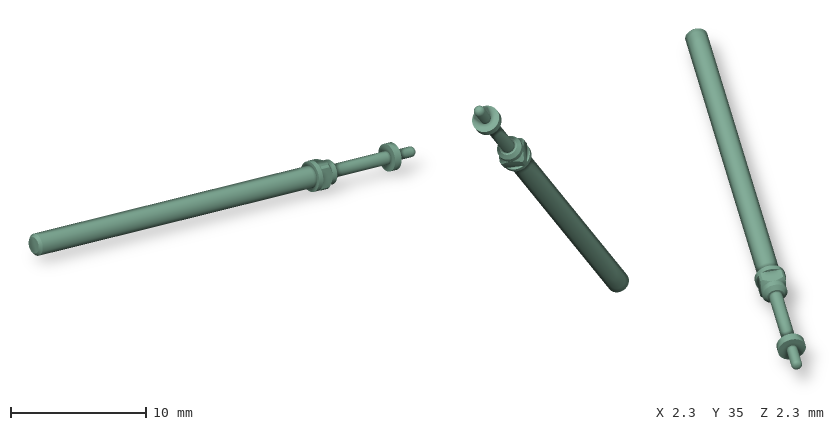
import cadquery as cq

overall_length = 35.0

body_diameter = 1.68
flange_diameter = 2.3
collar_diameter = 1.9
stem_diameter = 1.0
disc_diameter = 2.1
tip_diameter = 0.8

square_width = collar_diameter
square_corner_diameter = 2.45
square_lead_in = (square_corner_diameter - collar_diameter) / 2

body_length = 25.4
flange_thickness = 0.4
square_length = 1.0
collar_length = 0.42
shoulder_length = 0.28
disc_thickness = 0.6
tip_length = 1.92

body_chamfer = 0.2
shoulder_small_diameter = collar_diameter - 2 * shoulder_length
nose_radius = 0.35

body_start = -overall_length / 2
flange_start = body_start + body_length
square_start = flange_start + flange_thickness
collar_start = square_start + square_length
shoulder_start = collar_start + collar_length
stem_start = shoulder_start + shoulder_length
nose_end = overall_length / 2
disc_end = nose_end - tip_length
disc_start = disc_end - disc_thickness


def cylinder(diameter, start, end):
    """Round bar along Y between two stations."""
    length = end - start
    return cq.Workplane("XZ", origin=(0, end, 0)).circle(diameter / 2).extrude(length)


def cone(start_diameter, end_diameter, start, end):
    """Tapered bar along Y between two stations."""
    outline = [
        (0, start),
        (start_diameter / 2, start),
        (end_diameter / 2, end),
        (0, end),
    ]
    return cq.Workplane("XY").polyline(outline).close().revolve(360, (0, 0), (0, 1))


def square_section():
    """Square with corners trimmed round and a conical lead-in towards the collar."""
    taper_start = collar_start - square_lead_in
    envelope = cylinder(square_corner_diameter, square_start, taper_start)
    lead_in = cone(square_corner_diameter, collar_diameter, taper_start, collar_start)
    envelope = envelope.union(lead_in)
    middle = (square_start + collar_start) / 2
    block = cq.Workplane("XY", origin=(0, middle, 0)).box(square_width, square_length, square_width)
    return envelope.intersect(block)


body = cylinder(body_diameter, body_start, flange_start).faces("<Y").chamfer(body_chamfer)
flange = cylinder(flange_diameter, flange_start, square_start)
collar = cylinder(collar_diameter, collar_start, shoulder_start)
shoulder = cone(collar_diameter, shoulder_small_diameter, shoulder_start, stem_start)
stem = cylinder(stem_diameter, stem_start, disc_start)
disc = cylinder(disc_diameter, disc_start, disc_end)
tip = cylinder(tip_diameter, disc_end, nose_end).faces(">Y").edges().fillet(nose_radius)

result = body
for section in (flange, square_section(), collar, shoulder, stem, disc, tip):
    result = result.union(section)